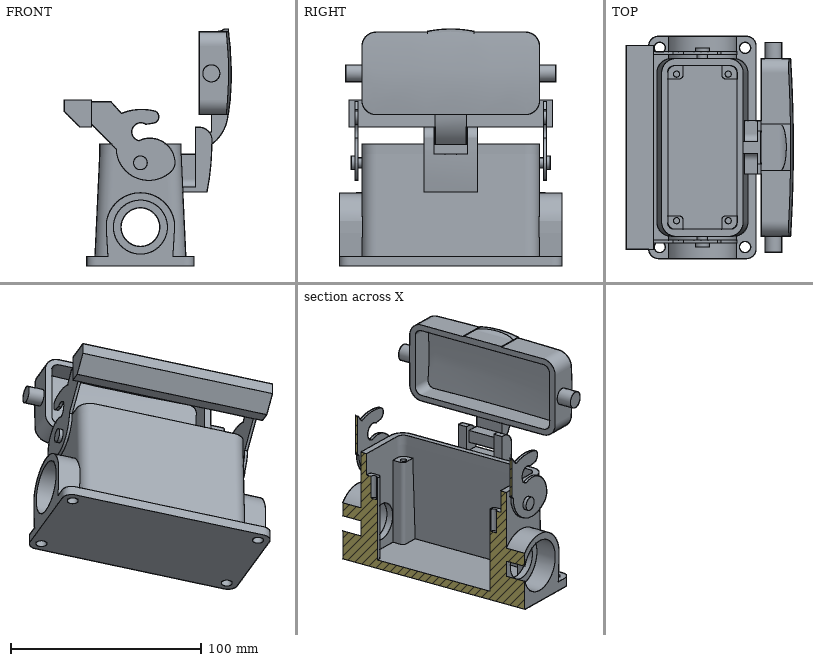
import cadquery as cq
import math

OVERCUT = 1.2

FLANGE_WIDTH = 56.5
FLANGE_LENGTH = 117.0
FLANGE_THICKNESS = 5.1
FLANGE_CORNER = 5.2
SCREW_HOLE_RADIUS = 2.9
SCREW_HOLE_X = 22.4
SCREW_HOLE_Y = 52.3

BOX_HEIGHT = 64.1
RIM_BASE = 58.7
RIM_HALF_WIDTH = 21.4
FOOT_HALF_WIDTH = 23.9
BOX_HALF_LENGTH = 46.7
BOX_CORNER = 7.6
SIDE_WALL = 3.2
END_WALL = 3.7
CAVITY_CORNER = 3.9

POST_INNER_X = 10.2
POST_INNER_Y = 36.0
POST_TOP = 52.0
POST_ROUND = 2.0
POST_HOLE_X = 13.6
POST_HOLE_Y = 38.5
POST_HOLE_RADIUS = 1.6
POST_HOLE_DEPTH = 12.5

ENTRY_Z = 20.4
ENTRY_RADIUS = 18.0
ENTRY_FLAT_HALF_HEIGHT = 3.1
ENTRY_FOOT_HALF_WIDTH = 17.1
ENTRY_BORE_RADIUS = 14.2
ENTRY_HOLE_RADIUS = 10.1

PIVOT_Z = 54.2
PIN_RADIUS = 2.7
PIN_HEAD_RADIUS = 3.6
PIN_HEAD_END = 52.3
PLATE_INNER_Y = 48.7
PLATE_OUTER_Y = 50.3
GRIP_HALF_LENGTH = 53.5
GRIP_OUTER_X = -40.1
GRIP_INNER_X = -25.7
GRIP_TOP = 87.3
GRIP_BOTTOM = 73.0
GRIP_CHAMFER = 8.2

PLATE_TOP = 86.3
PLATE_ROOT_BOTTOM = 74.4
PLATE_SHOULDER_X = -15.5
HOOK_ROOT = (-10.0, 80.2)
HOOK_BACK = (0.2, 82.3)
HOOK_TIP_TOP = (8.0, 81.3)
HOOK_TIP = (9.7, 78.3)
HOOK_TIP_BOTTOM = (7.3, 75.1)
NOTCH_TOP = (2.9, 74.4)
NOTCH_BACK = (-4.5, 70.5)
NOTCH_BOTTOM = (-0.7, 65.9)
NOSE_TOP = (11.2, 65.6)
NOSE_FRONT = (18.2, 53.9)
NOSE_CORNER = (17.6, 51.6)
BELLY_FRONT = (15.1, 48.7)
BELLY_BOTTOM = (3.7, 45.0)
BELLY_BACK = (-12.5, 59.0)
HEEL_TOP_Z = 61.2

BRACKET_HALF_WIDTH = 14.1
BRACKET_BOTTOM = 38.9
BRACKET_FRONT_X = 28.9
BRACKET_BACK_X = 37.5
BRACKET_BACK_FOOT_X = 35.0
SHELF_TOP = 41.6
RIB_HALF_WIDTH = 3.1
RIB_TOP = 58.8
RIB_FILLET = 3.9
CHEEK_INNER_Y = 8.7
CHEEK_TOP = 73.0
CHEEK_FLAT_END_X = 30.6
CHEEK_SHOULDER_Z = 67.3
CHEEK_BACK_TOP_Z = 61.0
CHEEK_BACK_MID = (36.7, 49.8)

COVER_FRONT_X = 30.9
COVER_BACK_X = 47.8
COVER_BOTTOM = 79.5
COVER_TOP = 123.0
COVER_HALF_LENGTH = BOX_HALF_LENGTH
COVER_CORNER = 7.6
COVER_BACK_SAG = 1.5
COVER_LENGTH_RADIUS = 759.8
COVER_RIM = 3.2
COVER_END_RIM = 3.6
COVER_INNER_CORNER = 4.1
COVER_BACK_WALL = 3.1
TRUNNION_X = 37.2
TRUNNION_RADIUS = 4.5
TRUNNION_END = 55.2
TAB_HALF_WIDTH = 12.2
TAB_PAD_TOP = 123.3
TAB_TOP = 124.5
TAB_RAMP_START_X = 40.1
TAB_RAMP_END_X = 44.1
TAB_RAMP_MID = (42.6, 123.7)
TAB_BACK_X = 46.3
TONGUE_HALF_WIDTH = 8.2
TONGUE_FRONT_X = 37.2
KNUCKLE_TOP = 70.5
KNUCKLE_BOTTOM = 63.8
KNUCKLE_FRONT_X = 30.4
TONGUE_ROOT_X = 46.1
TONGUE_BACK_MID = (43.6, 71.0)


def along_y(sketch, y_from, y_to):
    """Extrude a closed outline drawn on the XZ plane between two Y positions."""
    return sketch.extrude(y_from - y_to).translate((0, y_from, 0))


def y_cylinder(x, z, radius, y_from, y_to):
    return along_y(cq.Workplane("XZ").center(x, z).circle(radius), y_from, y_to)


def box_between(x_from, x_to, y_from, y_to, z_from, z_to):
    size = (x_to - x_from, y_to - y_from, z_to - z_from)
    return cq.Workplane("XY").box(*size, centered=False).translate((x_from, y_from, z_from))


def both_ends(feature):
    """Join a feature with its mirror image across Y = 0."""
    return feature.union(feature.mirror("XZ"))


def drafted_block(inset, half_length, floor, top, corner):
    """Block following the drafted box sides at an inset, with rounded upright edges."""
    draft = (FOOT_HALF_WIDTH - RIM_HALF_WIDTH) / (RIM_BASE - FLANGE_THICKNESS)
    rim = RIM_HALF_WIDTH - inset
    foot = rim + draft * (RIM_BASE - floor)
    outline = (
        cq.Workplane("XZ")
        .moveTo(-foot, floor)
        .lineTo(foot, floor)
        .lineTo(rim, RIM_BASE)
        .lineTo(rim, top)
        .lineTo(-rim, top)
        .lineTo(-rim, RIM_BASE)
        .close()
    )
    block = along_y(outline, -half_length, half_length)
    return block.edges("not (#Z)").fillet(corner)


def flange():
    plate = (
        cq.Workplane("XY")
        .rect(FLANGE_WIDTH, FLANGE_LENGTH)
        .extrude(FLANGE_THICKNESS)
        .edges("|Z")
        .fillet(FLANGE_CORNER)
    )
    holes = (
        cq.Workplane("XY")
        .rect(2 * SCREW_HOLE_X, 2 * SCREW_HOLE_Y, forConstruction=True)
        .vertices()
        .circle(SCREW_HOLE_RADIUS)
        .extrude(FLANGE_THICKNESS)
    )
    return plate.cut(holes)


def cable_entry():
    """Round boss with flattened sides that run down to the flange at the -Y end."""
    flat_x = math.sqrt(ENTRY_RADIUS**2 - ENTRY_FLAT_HALF_HEIGHT**2)
    flat_top = ENTRY_Z + ENTRY_FLAT_HALF_HEIGHT
    flat_bottom = ENTRY_Z - ENTRY_FLAT_HALF_HEIGHT
    outline = (
        cq.Workplane("XZ")
        .moveTo(-ENTRY_FOOT_HALF_WIDTH, 0)
        .lineTo(-ENTRY_FOOT_HALF_WIDTH, FLANGE_THICKNESS)
        .lineTo(-flat_x, flat_bottom)
        .lineTo(-flat_x, flat_top)
        .threePointArc((0, ENTRY_Z + ENTRY_RADIUS), (flat_x, flat_top))
        .lineTo(flat_x, flat_bottom)
        .lineTo(ENTRY_FOOT_HALF_WIDTH, FLANGE_THICKNESS)
        .lineTo(ENTRY_FOOT_HALF_WIDTH, 0)
        .close()
    )
    return along_y(outline, -FLANGE_LENGTH / 2, OVERCUT - BOX_HALF_LENGTH)


def corner_posts(cavity):
    """Screw posts that fill the four cavity corners up to POST_TOP."""
    post = (
        box_between(POST_INNER_X, FOOT_HALF_WIDTH, POST_INNER_Y, BOX_HALF_LENGTH, 0, POST_TOP)
        .edges("|Z and <X and <Y")
        .fillet(POST_ROUND)
    )
    hole = (
        cq.Workplane("XY", origin=(POST_HOLE_X, POST_HOLE_Y, POST_TOP))
        .circle(POST_HOLE_RADIUS)
        .extrude(-POST_HOLE_DEPTH)
    )
    end_pair = post.cut(hole)
    end_pair = end_pair.union(end_pair.mirror("YZ"))
    return both_ends(end_pair).intersect(cavity)


def hinge_bracket():
    """Shelf and rib leading out from the box to a block with two upright cheeks."""
    inner_x = RIM_HALF_WIDTH
    shelf = box_between(
        inner_x, BRACKET_FRONT_X, -BRACKET_HALF_WIDTH, BRACKET_HALF_WIDTH, BRACKET_BOTTOM, SHELF_TOP
    )
    rib = box_between(inner_x, BRACKET_FRONT_X, -RIB_HALF_WIDTH, RIB_HALF_WIDTH, SHELF_TOP, RIB_TOP)
    shelf = shelf.union(rib)
    rib_roots = cq.selectors.BoxSelector(
        (inner_x, -BRACKET_HALF_WIDTH / 2, (BRACKET_BOTTOM + SHELF_TOP) / 2),
        (BRACKET_FRONT_X, BRACKET_HALF_WIDTH / 2, (SHELF_TOP + RIB_TOP) / 2),
    )
    shelf = shelf.edges(rib_roots).edges("|X").fillet(RIB_FILLET)
    cheek_outline = (
        cq.Workplane("XZ")
        .moveTo(BRACKET_FRONT_X, BRACKET_BOTTOM)
        .lineTo(BRACKET_FRONT_X, CHEEK_TOP)
        .lineTo(CHEEK_FLAT_END_X, CHEEK_TOP)
        .tangentArcPoint((BRACKET_BACK_X, CHEEK_SHOULDER_Z), relative=False)
        .lineTo(BRACKET_BACK_X, CHEEK_BACK_TOP_Z)
        .threePointArc(CHEEK_BACK_MID, (BRACKET_BACK_FOOT_X, BRACKET_BOTTOM))
        .close()
    )
    block = along_y(cheek_outline, -BRACKET_HALF_WIDTH, BRACKET_HALF_WIDTH)
    gap = box_between(
        BRACKET_FRONT_X, BRACKET_BACK_X, -CHEEK_INNER_Y, CHEEK_INNER_Y, RIB_TOP, CHEEK_TOP + OVERCUT
    )
    return shelf.union(block.cut(gap))


def lever():
    """Grip bar carried by two hooked side plates."""
    grip_outline = (
        cq.Workplane("XZ")
        .moveTo(GRIP_OUTER_X, GRIP_TOP)
        .lineTo(GRIP_INNER_X, GRIP_TOP)
        .lineTo(GRIP_INNER_X, GRIP_BOTTOM)
        .lineTo(GRIP_OUTER_X + GRIP_CHAMFER, GRIP_BOTTOM)
        .lineTo(GRIP_OUTER_X, GRIP_BOTTOM + GRIP_CHAMFER)
        .close()
    )
    grip = along_y(grip_outline, -GRIP_HALF_LENGTH, GRIP_HALF_LENGTH)
    plate_outline = (
        cq.Workplane("XZ")
        .moveTo(GRIP_INNER_X - OVERCUT, PLATE_TOP)
        .lineTo(PLATE_SHOULDER_X, PLATE_TOP)
        .lineTo(*HOOK_ROOT)
        .threePointArc(HOOK_BACK, HOOK_TIP_TOP)
        .threePointArc(HOOK_TIP, HOOK_TIP_BOTTOM)
        .lineTo(*NOTCH_TOP)
        .threePointArc(NOTCH_BACK, NOTCH_BOTTOM)
        .threePointArc(NOSE_TOP, NOSE_FRONT)
        .threePointArc(NOSE_CORNER, BELLY_FRONT)
        .threePointArc(BELLY_BOTTOM, BELLY_BACK)
        .lineTo(BELLY_BACK[0], HEEL_TOP_Z)
        .lineTo(GRIP_INNER_X, PLATE_ROOT_BOTTOM)
        .lineTo(GRIP_INNER_X - OVERCUT, PLATE_ROOT_BOTTOM)
        .close()
    )
    plates = both_ends(along_y(plate_outline, -PLATE_OUTER_Y, -PLATE_INNER_Y))
    return grip.union(plates)


def pivot_pins():
    pin = y_cylinder(0, PIVOT_Z, PIN_RADIUS, -PLATE_OUTER_Y, OVERCUT - BOX_HALF_LENGTH)
    head = y_cylinder(0, PIVOT_Z, PIN_HEAD_RADIUS, -PIN_HEAD_END, -PLATE_OUTER_Y)
    return both_ends(pin.union(head))


def make_housing():
    outer = drafted_block(0, BOX_HALF_LENGTH, FLANGE_THICKNESS, BOX_HEIGHT, BOX_CORNER)
    cavity_half_length = BOX_HALF_LENGTH - END_WALL
    cavity = drafted_block(SIDE_WALL, cavity_half_length, FLANGE_THICKNESS, BOX_HEIGHT, CAVITY_CORNER)
    body = outer.union(flange()).union(both_ends(cable_entry())).union(hinge_bracket())
    body = body.cut(cavity).union(corner_posts(cavity))
    bores = both_ends(y_cylinder(0, ENTRY_Z, ENTRY_BORE_RADIUS, -FLANGE_LENGTH / 2, -BOX_HALF_LENGTH))
    passage = y_cylinder(0, ENTRY_Z, ENTRY_HOLE_RADIUS, -FLANGE_LENGTH / 2, FLANGE_LENGTH / 2)
    body = body.cut(bores).cut(passage)
    return body.union(pivot_pins()).union(lever())


def crowned_block(back_x, inset_z, half_length, corner):
    """Rounded cover block whose back is crowned over its height and along its length."""
    bottom = COVER_BOTTOM + inset_z
    top = COVER_TOP - inset_z
    middle = (bottom + top) / 2
    edge_x = back_x - COVER_BACK_SAG
    axis_x = back_x - COVER_LENGTH_RADIUS
    half_angle = math.degrees(math.asin(2 * half_length / COVER_LENGTH_RADIUS))
    crown = (
        cq.Workplane("XZ")
        .moveTo(0, bottom)
        .lineTo(edge_x, bottom)
        .threePointArc((back_x, middle), (edge_x, top))
        .lineTo(0, top)
        .close()
        .revolve(2 * half_angle, (axis_x, 0), (axis_x, 1))
        .rotate((axis_x, 0, 0), (axis_x, 0, 1), -half_angle)
    )
    block = box_between(COVER_FRONT_X, back_x, -half_length, half_length, bottom, top)
    return block.edges("|X").fillet(corner).intersect(crown)


def thumb_tab():
    """Low pad on the cover top that ramps up to a crowned thumb grip at the back."""
    side = (
        cq.Workplane("XZ")
        .moveTo(COVER_FRONT_X, COVER_TOP - OVERCUT)
        .lineTo(COVER_FRONT_X, TAB_PAD_TOP)
        .lineTo(TAB_RAMP_START_X, TAB_PAD_TOP)
        .threePointArc(TAB_RAMP_MID, (TAB_RAMP_END_X, TAB_TOP))
        .lineTo(TAB_BACK_X, TAB_TOP)
        .lineTo(TAB_BACK_X, COVER_TOP - OVERCUT)
        .close()
    )
    crown = (
        cq.Workplane("YZ")
        .moveTo(-TAB_HALF_WIDTH, COVER_TOP - OVERCUT)
        .lineTo(-TAB_HALF_WIDTH, TAB_PAD_TOP)
        .threePointArc((0, TAB_TOP), (TAB_HALF_WIDTH, TAB_PAD_TOP))
        .lineTo(TAB_HALF_WIDTH, COVER_TOP - OVERCUT)
        .close()
        .extrude(COVER_BACK_X)
    )
    return along_y(side, -TAB_HALF_WIDTH, TAB_HALF_WIDTH).intersect(crown)


def hinge_tongue():
    """Curved arm under the cover that ends in a knuckle between the bracket cheeks."""
    outline = (
        cq.Workplane("XZ")
        .moveTo(TONGUE_FRONT_X, COVER_BOTTOM + OVERCUT)
        .lineTo(TONGUE_FRONT_X, KNUCKLE_TOP)
        .lineTo(KNUCKLE_FRONT_X, KNUCKLE_TOP)
        .lineTo(KNUCKLE_FRONT_X, KNUCKLE_BOTTOM)
        .lineTo(TONGUE_FRONT_X, KNUCKLE_BOTTOM)
        .threePointArc(TONGUE_BACK_MID, (TONGUE_ROOT_X, COVER_BOTTOM))
        .lineTo(TONGUE_ROOT_X, COVER_BOTTOM + OVERCUT)
        .close()
    )
    return along_y(outline, -TONGUE_HALF_WIDTH, TONGUE_HALF_WIDTH)


def make_cover():
    outer = crowned_block(COVER_BACK_X, 0, COVER_HALF_LENGTH, COVER_CORNER)
    cavity = crowned_block(
        COVER_BACK_X - COVER_BACK_WALL, COVER_RIM, COVER_HALF_LENGTH - COVER_END_RIM, COVER_INNER_CORNER
    )
    trunnion_z = (COVER_BOTTOM + COVER_TOP) / 2
    trunnion = y_cylinder(
        TRUNNION_X, trunnion_z, TRUNNION_RADIUS, -TRUNNION_END, OVERCUT - COVER_HALF_LENGTH
    )
    shell = outer.union(thumb_tab()).union(hinge_tongue()).cut(cavity)
    return shell.union(both_ends(trunnion))


housing = make_housing()
cover = make_cover()
result = cq.Compound.makeCompound([*housing.solids().vals(), *cover.solids().vals()])